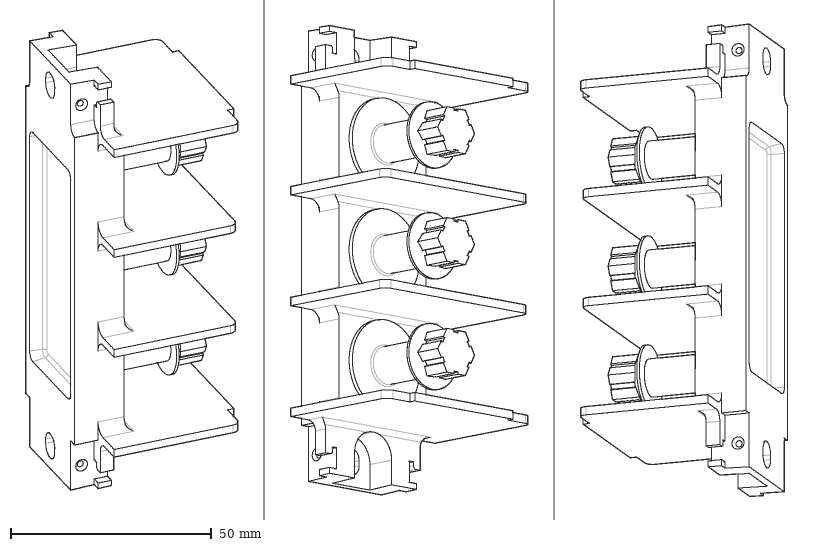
import cadquery as cq
import math

length = 114.2
body_width = 30.1
body_depth = 13.5
tab_width = 25.4
tab_depth = 10.0
end_face_drop = 0.3
ledge_depth = 6.4

fin_pitch = 28.1
fin_thickness = 2.2
fin_width = 50.0
fin_corner_radius = 2.0
inner_fin_tip = 40.1
outer_fin_shoulder = 40.8
outer_fin_tip = 42.5
outer_fin_tip_width = 34.0
fin_count = 4
lowest_fin = -(fin_count - 1) / 2 * fin_pitch
fin_levels = [lowest_fin + i * fin_pitch for i in range(fin_count)]
body_half_length = fin_levels[-1] + fin_thickness / 2

side_blend = 3.0
back_blend = 1.4
hook_blend = 2.5

hook_half_width = 16.5
hook_thickness = 2.4
hook_top = 51.7
hook_slot_floor = 49.9
hook_tip_radius = 0.8
ear_bottom = 55.3

mount_level = 50.7
slot_width = 5.5
slot_length = 6.7
mount_floor = 2.3
mount_pocket_width = 12.9
mount_pocket_corner = 6.3
dimple_depth_position = 3.0
dimple_radius = 1.6
dimple_floor_radius = 0.8
dimple_depth = 0.8

recess_width = 25.4
recess_height = 64.4
recess_depth = 4.1
recess_corner_radius = 2.0
recess_floor_blend = 0.9
recess_draft = 8

seat_radius = 11.6
seat_sink = 2.3
seat_bottom = body_depth - seat_sink
seat_top = 14.6
shank_radius = 4.8
shank_root_blend = 0.5
flange_base = 30.7
flange_rim = 31.4
flange_radius = 8.3
flange_top = 33.7
flange_top_radius = 4.5
head_top = 39.7
head_across_flats = 11.1
groove_width = 1.4
groove_depth = 0.6


def block(x0, x1, y0, y1, z0, z1):
    """Box given by its limits along each axis."""
    return cq.Workplane("XY").box(x1 - x0, y1 - y0, z1 - z0, centered=False).translate((x0, y0, z0))


def front_plane(y):
    """XZ sketch plane at depth y whose normal points back along +Y."""
    return cq.Workplane(cq.Plane((0, y, 0), (-1, 0, 0), (0, 1, 0)))


def concave_point(corner_a, corner_b, radius, sign):
    """Middle of a quarter arc blending a wall at corner_a into a face at corner_b."""
    reach = radius * (1 - math.sqrt(0.5))
    return (corner_a + reach, corner_b + sign * reach)


def flare(half_width, face, sign, radius, y0, y1):
    """Solid between two walls at +-half_width, flaring out by radius onto the level 'face'."""
    mid_x, mid_z = concave_point(half_width, face, radius, sign)
    end = face + sign * radius
    outline = (
        front_plane(y0)
        .moveTo(-half_width - radius, face)
        .lineTo(half_width + radius, face)
        .threePointArc((mid_x, mid_z), (half_width, end))
        .lineTo(-half_width, end)
        .threePointArc((-mid_x, mid_z), (-half_width - radius, face))
        .close()
    )
    return outline.extrude(y1 - y0)


def root_blend(half_width, back, face, sign, radius):
    """Flare at a fin root whose rear edge also blends into the fin along the back wall."""
    sides = flare(half_width, face, sign, radius, ledge_depth, back + back_blend)
    end = face + sign * radius
    profile = (
        cq.Workplane("YZ")
        .moveTo(0, face)
        .lineTo(back + back_blend, face)
        .threePointArc(concave_point(back, face, back_blend, sign), (back, face + sign * back_blend))
        .lineTo(back, end)
        .lineTo(0, end)
        .close()
        .extrude(fin_width / 2, both=True)
    )
    return sides.intersect(profile)


def fin(level, is_outer):
    """Barrier plate centred at a level; the outer ones carry a raised tip."""
    bottom = level - fin_thickness / 2
    top = level + fin_thickness / 2
    shoulder = outer_fin_shoulder if is_outer else inner_fin_tip
    half = fin_width / 2
    plate = block(-half, half, ledge_depth, shoulder, bottom, top)
    plate = plate.edges("|Z and >Y").fillet(fin_corner_radius)
    if is_outer:
        tip_half = outer_fin_tip_width / 2
        plate = plate.union(block(-tip_half, tip_half, ledge_depth, outer_fin_tip, bottom, top))
    return plate


def hook():
    """Snap finger on the +X side of the upper end tab."""
    inner = hook_half_width - hook_thickness
    finger = block(inner, hook_half_width, ledge_depth, tab_depth, body_half_length, hook_top)
    finger = finger.edges("|Y and >Z and <X").fillet(hook_tip_radius)
    bridge = block(0, hook_half_width, ledge_depth, tab_depth, body_half_length, hook_slot_floor)
    return finger.union(bridge)


def dimple():
    """Conical dimple pointing into the +X side of the upper end tab."""
    cone = cq.Solid.makeCone(
        dimple_radius,
        dimple_floor_radius,
        dimple_depth,
        cq.Vector(tab_width / 2, dimple_depth_position, mount_level),
        cq.Vector(-1, 0, 0),
    )
    return cq.Workplane(cone)


def end_face_taper():
    """Wedge removed from the upper end so that it drops towards the back of the tab."""
    return (
        cq.Workplane("YZ")
        .moveTo(0, length / 2)
        .lineTo(tab_depth, length / 2 - end_face_drop)
        .lineTo(tab_depth, length / 2)
        .close()
        .extrude(body_width, both=True)
    )


def end_tab(has_front_blend):
    """Upper end tab with hooks, ears, mounting slot and dimples."""
    half = tab_width / 2
    ear_half = body_width / 2
    tab = block(-half, half, 0, tab_depth, body_half_length, length / 2)
    tab = tab.union(block(-ear_half, ear_half, ledge_depth, tab_depth, ear_bottom, length / 2))
    tab = tab.union(hook()).union(hook().mirror("YZ"))
    tab = tab.union(root_blend(hook_half_width, tab_depth, body_half_length, 1, hook_blend))

    if has_front_blend:
        tab = tab.union(flare(half, body_half_length, 1, hook_blend, 0, ledge_depth))

    pocket_half = mount_pocket_width / 2
    pocket = block(
        -pocket_half, pocket_half, mount_floor, body_depth, mount_level - pocket_half, length
    )
    pocket = pocket.edges("|Y and <Z").fillet(mount_pocket_corner)
    slot = front_plane(0).center(0, mount_level).slot2D(slot_length, slot_width, 90).extrude(body_depth)
    tab = tab.cut(pocket).cut(slot).cut(end_face_taper())
    return tab.cut(dimple()).cut(dimple().mirror("YZ"))


def front_recess():
    """Round-cornered recess with drafted walls and a blended floor."""
    outline = cq.Sketch().rect(recess_width, recess_height).vertices().fillet(recess_corner_radius)
    recess = front_plane(0).placeSketch(outline).extrude(recess_depth, taper=recess_draft)
    return recess.faces(">Y").edges().fillet(recess_floor_blend)


def bolt():
    """Terminal bolt on the Y axis: round seat, shank, conical flange and grooved hex head."""
    turned = (
        cq.Workplane("XY")
        .moveTo(0, seat_bottom)
        .lineTo(seat_radius, seat_bottom)
        .lineTo(seat_radius, seat_top)
        .lineTo(shank_radius + shank_root_blend, seat_top)
        .threePointArc(
            concave_point(shank_radius, seat_top, shank_root_blend, 1),
            (shank_radius, seat_top + shank_root_blend),
        )
        .lineTo(shank_radius, flange_base)
        .lineTo(flange_radius, flange_base)
        .lineTo(flange_radius, flange_rim)
        .lineTo(flange_top_radius, flange_top)
        .lineTo(0, flange_top)
        .close()
        .revolve(360, (0, 0, 0), (0, 1, 0))
    )
    across_corners = head_across_flats / math.cos(math.pi / 6)
    head = front_plane(flange_rim).polygon(6, across_corners).extrude(head_top - flange_rim)
    half_flats = head_across_flats / 2
    groove = block(
        -groove_width / 2, groove_width / 2, flange_rim, head_top,
        half_flats - groove_depth, half_flats,
    )
    for side in range(6):
        head = head.cut(groove.rotate((0, 0, 0), (0, 1, 0), 60 * side))
    return turned.union(head)


half_body = body_width / 2
result = block(-half_body, half_body, 0, body_depth, -body_half_length, body_half_length)

for level in fin_levels:
    is_outer = level in (fin_levels[0], fin_levels[-1])
    result = result.union(fin(level, is_outer))

for lower, upper in zip(fin_levels, fin_levels[1:]):
    bay_floor = lower + fin_thickness / 2
    bay_ceiling = upper - fin_thickness / 2
    result = result.union(root_blend(half_body, body_depth, bay_floor, 1, side_blend))
    result = result.union(root_blend(half_body, body_depth, bay_ceiling, -1, side_blend))
    result = result.union(bolt().translate((0, 0, (lower + upper) / 2)))

result = result.union(end_tab(True)).union(end_tab(False).mirror("XY"))
result = result.cut(front_recess())